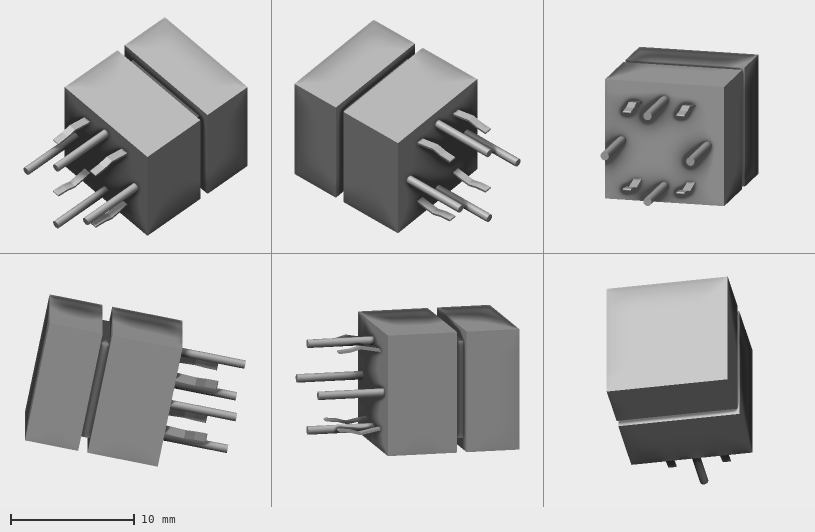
import cadquery as cq

total_length = 16.5
side = 10.0
cap_length = 4.4
neck_length = 0.8
neck_side = 8.0
pin_length = 5.5

cap_back = total_length / 2
cap_front = cap_back - cap_length
body_back = cap_front - neck_length
body_front = -total_length / 2 + pin_length

pin_diameter = 0.7
pin_offset = 3.6

terminal_offset = 2.25
terminal_width = 0.66
terminal_length = 3.5
terminal_thickness = 0.2
crest_reach = 1.68
heel_reach = 2.49
root_height = 3.15
crest_height = 3.46
heel_height = 3.23
tip_height = 3.15


def square_block(width, y_front, y_back):
    """Square block centred on the Y axis between two Y positions."""
    length = y_back - y_front
    return cq.Workplane("XY").box(width, length, width).translate((0, (y_front + y_back) / 2, 0))


def pin(x, z):
    """Round pin reaching from the body face to the front end."""
    return (
        cq.Workplane("XZ", origin=(x, body_front, z))
        .circle(pin_diameter / 2)
        .extrude(pin_length)
    )


def terminal(x):
    """Upper strip terminal, bent outward at the crest, with a fully rounded tip."""
    tip_radius = terminal_thickness / 2
    tip = body_front - terminal_length
    tip_start = tip + tip_radius
    crest = body_front - crest_reach
    heel = body_front - heel_reach
    return (
        cq.Workplane("YZ", origin=(x, 0, 0))
        .moveTo(body_front, root_height)
        .lineTo(crest, crest_height)
        .lineTo(heel, heel_height)
        .lineTo(tip_start, tip_height)
        .threePointArc((tip, tip_height + tip_radius), (tip_start, tip_height + terminal_thickness))
        .lineTo(heel, heel_height + terminal_thickness)
        .lineTo(crest, crest_height + terminal_thickness)
        .lineTo(body_front, root_height + terminal_thickness)
        .close()
        .extrude(terminal_width / 2, both=True)
    )


result = square_block(side, cap_front, cap_back)
result = result.union(square_block(neck_side, body_back, cap_front))
result = result.union(square_block(side, body_front, body_back))

for direction in (-1, 1):
    result = result.union(pin(direction * pin_offset, 0))
    result = result.union(pin(0, direction * pin_offset))

for direction in (-1, 1):
    upper_terminal = terminal(direction * terminal_offset)
    result = result.union(upper_terminal)
    result = result.union(upper_terminal.mirror("XY"))